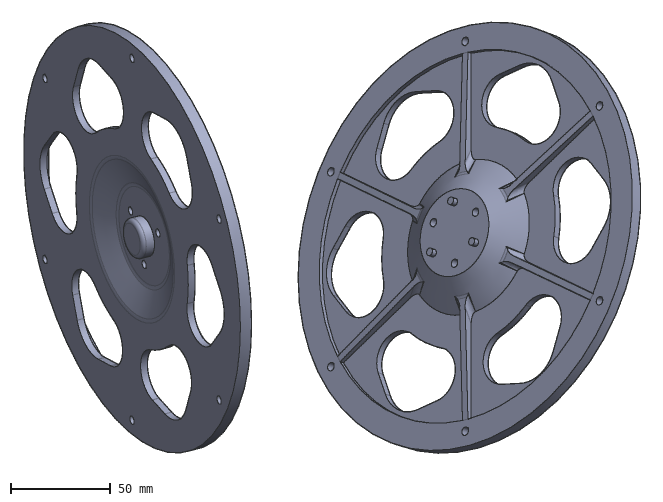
import cadquery as cq
import math

disc_diameter = 220
rim_thickness = 6.5
rim_inner_radius = 96
web_thickness = 4

hub_back_y = rim_thickness + 8.3
hub_back_radius = 22.6
hub_rim_radius = 36
dish_mouth_radius = 42.15
dish_floor_radius = 26.65
dish_depth = 7
dish_edge_fillet = 5

boss_diameter = 21
boss_top_diameter = 16.5

hub_hole_count = 3
hub_circle_radius = 16
hub_hole_first_angle = 30
hub_hole_diameter = 4.2
pin_first_angle = hub_hole_first_angle + 180 / hub_hole_count
pin_diameter = 3.9
pin_length = 3

window_count = 6
window_first_angle = -0.4
window_inner_radius = 57.1
window_lobe_radius = 14.1
window_lobe_angle = 10.9
window_outer_reach = 93.4
window_nose_radius = 19.5

rib_count = 6
rib_first_angle = 30
rib_width = 3.6
rib_height_at_hub = 2.2
rib_hub_fillet = 3

rim_hole_count = 6
rim_hole_diameter = 4.3
rim_hole_circle_radius = 102
rim_hole_first_angle = rib_first_angle

pick_margin = 0.1


def polar(radius, angle):
    """Point at a radius and an angle in degrees."""
    turn = math.radians(angle)
    return (radius * math.cos(turn), radius * math.sin(turn))


def ring_of_angles(count, first):
    return [first + index * 360 / count for index in range(count)]


def ring_of_points(radius, count, first):
    return [polar(radius, angle) for angle in ring_of_angles(count, first)]


def back_facing(y):
    """Sketch plane at height y, with local x along X and local y along Z; extrudes towards -Y."""
    return cq.Workplane("XZ", origin=(0, y, 0))


def band(reach, y_start, y_end):
    """Selector for what lies wholly between two heights and within reach of the axis."""
    limit = reach + pick_margin
    return cq.selectors.BoxSelector(
        (-limit, y_start - pick_margin, -limit),
        (limit, y_end + pick_margin, limit),
        boundingbox=True,
    )


def spin(shape, angle):
    """Turn a shape about the disc axis, anticlockwise as seen from the front."""
    return shape.rotate((0, 0, 0), (0, -1, 0), angle)


def cylinders(centres, diameter, y_start, y_end):
    return back_facing(y_end).pushPoints(centres).circle(diameter / 2).extrude(y_end - y_start)


def revolve_about_y(points):
    return cq.Workplane("XY").polyline(points).close().revolve(360, (0, 0, 0), (0, 1, 0))


def hub_radius_at(y):
    """Radius of the hub's outer cone at height y."""
    slope = (hub_rim_radius - hub_back_radius) / (hub_back_y - rim_thickness)
    return hub_back_radius + (hub_back_y - y) * slope


def make_disc():
    disc_radius = disc_diameter / 2
    return revolve_about_y([
        (0, 0),
        (disc_radius, 0),
        (disc_radius, rim_thickness),
        (rim_inner_radius, rim_thickness),
        (rim_inner_radius, web_thickness),
        (hub_radius_at(web_thickness), web_thickness),
        (hub_back_radius, hub_back_y),
        (0, hub_back_y),
    ])


def make_rib():
    """Rib along +X; its back edge falls to the rim's back face."""
    inner = hub_back_radius
    slope = rib_height_at_hub / (rim_inner_radius - hub_rim_radius)
    inner_y = rim_thickness + slope * (rim_inner_radius - inner)
    outline = [
        (inner, web_thickness),
        (rim_inner_radius, web_thickness),
        (rim_inner_radius, rim_thickness),
        (inner, inner_y),
    ]
    return cq.Workplane("XY").polyline(outline).close().extrude(rib_width / 2, both=True)


def fillet_rib_roots(body):
    """Round the side and top edges where each rib meets the hub cone."""
    reach = hub_radius_at(web_thickness)
    hub_zone = band(reach, web_thickness, hub_back_y - 2 * pick_margin)
    web_edges = band(reach, web_thickness, web_thickness)
    return body.edges(hub_zone - web_edges).fillet(rib_hub_fillet)


def add_ribs(body):
    rib = make_rib()
    for angle in ring_of_angles(rib_count, rib_first_angle):
        body = body.union(spin(rib, angle))
    return fillet_rib_roots(body)


def cut_dish(body):
    dish = revolve_about_y([
        (0, 0),
        (dish_mouth_radius, 0),
        (dish_floor_radius, dish_depth),
        (0, dish_depth),
    ])
    body = body.cut(dish)
    body = body.edges(band(dish_mouth_radius, 0, 0)).fillet(dish_edge_fillet)
    return body.edges(band(dish_floor_radius, dish_depth, dish_depth)).fillet(dish_edge_fillet)


def make_boss():
    boss = cylinders([(0, 0)], boss_diameter, 0, dish_depth)
    return boss.faces("<Y").edges().fillet((boss_diameter - boss_top_diameter) / 2)


def make_window():
    """Window on the +X side, symmetric about the X axis."""
    lobe = polar(window_inner_radius + window_lobe_radius, window_lobe_angle)
    nose_x = window_outer_reach - window_nose_radius
    run = nose_x - lobe[0]
    gap = math.hypot(run, lobe[1])
    centre_line = math.degrees(math.atan2(lobe[1], -run))
    flank = centre_line - math.degrees(math.acos((window_nose_radius - window_lobe_radius) / gap))

    def on_lobe(angle):
        offset = polar(window_lobe_radius, angle)
        return (lobe[0] + offset[0], lobe[1] + offset[1])

    def mirrored(point):
        return (point[0], -point[1])

    nose_offset = polar(window_nose_radius, flank)
    nose_end = (nose_x + nose_offset[0], nose_offset[1])
    inner_end = polar(window_inner_radius, window_lobe_angle)
    lobe_middle = on_lobe((flank + 180 + window_lobe_angle) / 2)
    lobe_end = on_lobe(flank)
    return (
        back_facing(hub_back_y)
        .moveTo(*mirrored(inner_end))
        .threePointArc((window_inner_radius, 0), inner_end)
        .threePointArc(lobe_middle, lobe_end)
        .lineTo(*nose_end)
        .threePointArc((window_outer_reach, 0), mirrored(nose_end))
        .lineTo(*mirrored(lobe_end))
        .threePointArc(mirrored(lobe_middle), mirrored(inner_end))
        .close()
        .extrude(hub_back_y)
    )


def cut_windows(body):
    window = make_window()
    for angle in ring_of_angles(window_count, window_first_angle):
        body = body.cut(spin(window, angle))
    return body


def cut_rim_holes(body):
    centres = ring_of_points(rim_hole_circle_radius, rim_hole_count, rim_hole_first_angle)
    return body.cut(cylinders(centres, rim_hole_diameter, 0, rim_thickness))


def cut_hub_holes(body):
    centres = ring_of_points(hub_circle_radius, hub_hole_count, hub_hole_first_angle)
    return body.cut(cylinders(centres, hub_hole_diameter, 0, hub_back_y))


def add_pins(body):
    centres = ring_of_points(hub_circle_radius, hub_hole_count, pin_first_angle)
    return body.union(cylinders(centres, pin_diameter, dish_depth, hub_back_y + pin_length))


body = make_disc()
body = add_ribs(body)
body = cut_dish(body)
body = body.union(make_boss())
body = cut_windows(body)
body = cut_rim_holes(body)
body = cut_hub_holes(body)
result = add_pins(body)